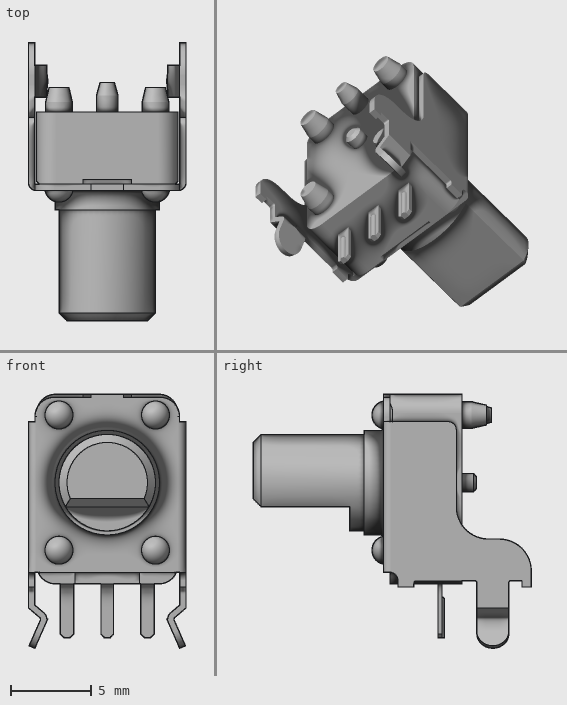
import cadquery as cq
import math


body_half_width = 4.4
body_top = 5.5
body_bottom = -6.3
body_back = 4.9
body_corner_radius = 1.2
body_edge_chamfer = 0.18
pocket_depth = 0.3
top_notch_half_width = 1.5
top_notch_floor = 5.2
bottom_recess_half_width = 2.0

sheet = 0.4
cover_half_width = 4.9
bend_radius = 0.5
cover_inner_half_width = cover_half_width - sheet
cover_top = 5.3
cover_bottom = -5.58
tab_half_width = 1.02
flange_top = 3.79
flange_back = 4.53
flange_corner_radius = 0.5
shelf_radius = 2.0
shelf_z = -3.5
flange_end = 9.2
flange_lower_edge = -6.1
foot_bottom = -6.5
rear_foot_front = 8.6
front_foot_start = 0.9
front_foot_end = 1.9
relief_radius = 0.5
notch_fillet = 0.12

leg_front = 5.8
leg_width = 2.0
leg_centre_x = cover_half_width - sheet / 2
leg_knee_z = -7.7
leg_bulge_x = 3.88
leg_bulge_z = -8.4
leg_tip_x = 4.68
leg_tip_z = -10.22
leg_bend_inner_radius = 0.12

bushing_radius = 3.25
bushing_length = 1.2
bushing_fillet = 0.2
shaft_radius = 3.0
shaft_length = 8.1
shaft_chamfer = 0.5
flat_z = -1.5
flat_length = 6.0

dimple_x = 3.0
dimple_z = 4.2
dimple_radius = 0.885
dimple_height = 0.72

post_x = dimple_x
post_z = dimple_z
post_root_depth = 0.3
outer_post = (0.84, 0.62, 5.48, 6.42)
centre_post = (0.68, 0.45, 5.9, 6.72)
low_post = (0.58, 0.36, 5.6, 5.8)

terminal_pitch = 2.5
outer_terminal_width = 0.86
centre_terminal_width = 0.8
terminal_front = 3.38
terminal_back = 3.65
terminal_bottom = -9.65
terminal_tip_chamfer = 0.24
bead_height = 0.16
bead_half_width = 0.2
bead_top = -7.1


def box(x0, x1, y0, y1, z0, z1):
    """Axis-aligned box between opposite corners."""
    return cq.Workplane("XY").box(x1 - x0, y1 - y0, z1 - z0, centered=False).translate((x0, y0, z0))


def mirrored(shape):
    """A left-hand shape together with its mirror image across X = 0."""
    return shape.union(shape.mirror("YZ"))


def make_body():
    body = box(-body_half_width, body_half_width, sheet, body_back, body_bottom, body_top)
    body = body.edges("|Y").fillet(body_corner_radius)

    corner = (
        cq.Workplane("XY")
        .moveTo(-body_half_width, sheet)
        .lineTo(-body_half_width + body_edge_chamfer, sheet)
        .lineTo(-body_half_width, sheet + body_edge_chamfer)
        .close()
        .extrude(body_top - body_bottom)
        .translate((0, 0, body_bottom))
    )
    body = body.cut(mirrored(corner))

    pocket_back = sheet + pocket_depth
    top_notch = box(
        -top_notch_half_width, top_notch_half_width, sheet, pocket_back, top_notch_floor, body_top
    )
    bottom_recess = box(
        -bottom_recess_half_width, bottom_recess_half_width, sheet, pocket_back, body_bottom, cover_bottom
    )
    return body.cut(top_notch).cut(bottom_recess)


def make_flange():
    """Left-hand flange, including the bend strip up to the flat of the cover."""
    shelf_start = flange_back + shelf_radius
    shelf_end = flange_end - shelf_radius
    diagonal = shelf_radius * math.sqrt(0.5)
    leg_back = leg_front + leg_width
    profile = (
        cq.Workplane("YZ")
        .moveTo(0, cover_bottom)
        .lineTo(0, flange_top)
        .lineTo(flange_back, flange_top)
        .lineTo(flange_back, shelf_z + shelf_radius)
        .threePointArc(
            (shelf_start - diagonal, shelf_z + shelf_radius - diagonal), (shelf_start, shelf_z)
        )
        .lineTo(shelf_end, shelf_z)
        .threePointArc(
            (shelf_end + diagonal, shelf_z - shelf_radius + diagonal), (flange_end, shelf_z - shelf_radius)
        )
        .lineTo(flange_end, foot_bottom)
        .lineTo(rear_foot_front, foot_bottom)
        .lineTo(rear_foot_front, flange_lower_edge)
        .lineTo(leg_back, flange_lower_edge)
        .lineTo(leg_back, leg_knee_z)
        .lineTo(leg_front, leg_knee_z)
        .lineTo(leg_front, flange_lower_edge)
        .lineTo(front_foot_end, flange_lower_edge)
        .lineTo(front_foot_end, foot_bottom)
        .lineTo(front_foot_start, foot_bottom)
        .lineTo(front_foot_start, cover_bottom - relief_radius)
        .radiusArc((front_foot_start - relief_radius, cover_bottom), -relief_radius)
        .close()
        .extrude(sheet)
        .translate((-cover_half_width, 0, 0))
    )

    def edge_at(y, z):
        return cq.selectors.NearestToPointSelector((-leg_centre_x, y, z))

    profile = profile.edges(edge_at(flange_back, flange_top)).fillet(flange_corner_radius)
    for notch_y in (front_foot_end, leg_front, leg_back):
        profile = profile.edges(edge_at(notch_y, flange_lower_edge)).fillet(notch_fillet)
    bend_strip = box(-cover_half_width, -body_half_width, 0, sheet, cover_bottom, flange_top)
    return profile.union(bend_strip)


def make_bend_waste():
    """Left-hand sliver outside the rounded bend between cover and flange."""
    bend_x = bend_radius - cover_half_width
    bend_top = cover_top - body_corner_radius
    sharp_corner = box(-cover_half_width, bend_x, 0, bend_radius, cover_bottom, bend_top)
    bend_round = cq.Solid.makeCylinder(
        bend_radius, bend_top - cover_bottom, cq.Vector(bend_x, bend_radius, cover_bottom)
    )
    return sharp_corner.cut(cq.Workplane(bend_round))


def offset_corner(start, corner, end, distance):
    """Mitred corner of the line start-corner-end shifted sideways by distance."""
    normals = []
    for (x0, z0), (x1, z1) in ((start, corner), (corner, end)):
        length = math.hypot(x1 - x0, z1 - z0)
        normals.append(((z0 - z1) / length, (x1 - x0) / length))
    (nx0, nz0), (nx1, nz1) = normals
    stretch = distance / (1 + nx0 * nx1 + nz0 * nz1)
    return (corner[0] + stretch * (nx0 + nx1), corner[1] + stretch * (nz0 + nz1))


def make_leg():
    """Left-hand leg: a strip bent inward, then outward, ending in a half-round tip."""
    root = (-leg_centre_x, flange_lower_edge)
    knee = (-leg_centre_x, leg_knee_z)
    bulge = (-leg_bulge_x, leg_bulge_z)
    slant_x = leg_bulge_x - leg_tip_x
    slant_z = leg_tip_z - leg_bulge_z
    slant = math.hypot(slant_x, slant_z)
    dir_x = slant_x / slant
    dir_z = slant_z / slant
    tip_radius = leg_width / 2
    tip = (-leg_tip_x - tip_radius * dir_x, leg_tip_z - tip_radius * dir_z)
    half = sheet / 2

    bulge_outer = offset_corner(knee, bulge, tip, half)
    bulge_inner = offset_corner(knee, bulge, tip, -half)
    outline = [
        (root[0] + half, root[1]),
        offset_corner(root, knee, bulge, half),
        bulge_outer,
        (tip[0] - half * dir_z, tip[1] + half * dir_x),
        (tip[0] + half * dir_z, tip[1] - half * dir_x),
        bulge_inner,
        offset_corner(root, knee, bulge, -half),
        (root[0] - half, root[1]),
    ]
    leg_back = leg_front + leg_width
    strip = cq.Workplane("XZ", origin=(0, leg_back, 0)).polyline(outline).close().extrude(leg_width)

    def bend_edge(point):
        return cq.selectors.NearestToPointSelector((point[0], leg_front + leg_width / 2, point[1]))

    strip = strip.edges(bend_edge(bulge_outer)).fillet(leg_bend_inner_radius + sheet)
    strip = strip.edges(bend_edge(bulge_inner)).fillet(leg_bend_inner_radius)

    disc_start = cq.Vector(tip[0] + half * dir_z, leg_front + tip_radius, tip[1] - half * dir_x)
    disc_axis = cq.Vector(-dir_z, 0, dir_x)
    disc = cq.Solid.makeCylinder(tip_radius, sheet, disc_start, disc_axis)
    return strip.union(cq.Workplane(disc))


def make_cover():
    plate = box(-cover_inner_half_width, cover_inner_half_width, 0, sheet, cover_bottom, cover_top)
    plate = plate.edges("|Y and >Z").fillet(body_corner_radius)
    tab = box(-tab_half_width, tab_half_width, 0, sheet, 0, body_top)
    side = make_flange().union(make_leg())
    cover = plate.union(tab).union(mirrored(side))
    return cover.cut(mirrored(make_bend_waste()))


def make_dimples():
    centre_y = dimple_radius - dimple_height
    dimples = cq.Workplane("XY")
    for x in (-dimple_x, dimple_x):
        for z in (-dimple_z, dimple_z):
            dimples = dimples.union(cq.Workplane("XY").sphere(dimple_radius).translate((x, centre_y, z)))
    front_half = box(-cover_half_width, cover_half_width, -dimple_height, sheet, cover_bottom, body_top)
    return dimples.intersect(front_half)


def make_bushing():
    flare_radius = bushing_radius + bushing_fillet
    bow = bushing_fillet * (1 - math.sqrt(0.5))
    profile = (
        cq.Workplane("XY")
        .moveTo(0, sheet)
        .lineTo(flare_radius, sheet)
        .lineTo(flare_radius, 0)
        .threePointArc((bushing_radius + bow, -bow), (bushing_radius, -bushing_fillet))
        .lineTo(bushing_radius, -bushing_length)
        .lineTo(0, -bushing_length)
        .close()
    )
    return profile.revolve(360, (0, 0), (0, 1))


def make_shaft():
    flat_start = flat_length - shaft_length
    shaft = cq.Workplane("XZ").circle(shaft_radius).extrude(shaft_length)
    flat = box(-shaft_radius, shaft_radius, -shaft_length, flat_start, -shaft_radius, flat_z)
    return shaft.cut(flat).faces("<Y").edges().chamfer(shaft_chamfer)


def make_post(size, x, z):
    """Round post on the back of the housing with a conical tip."""
    base_radius, tip_radius, cone_start, tip_y = size
    profile = (
        cq.Workplane("XY")
        .moveTo(0, body_back - post_root_depth)
        .lineTo(base_radius, body_back - post_root_depth)
        .lineTo(base_radius, cone_start)
        .lineTo(tip_radius, tip_y)
        .lineTo(0, tip_y)
        .close()
    )
    return profile.revolve(360, (0, 0), (0, 1)).translate((x, 0, z))


def make_posts():
    posts = make_post(centre_post, 0, post_z).union(make_post(low_post, 0, 0))
    for x in (-post_x, post_x):
        for z in (-post_z, post_z):
            posts = posts.union(make_post(outer_post, x, z))
    return posts


def make_terminal(x, width):
    """Flat terminal with a chamfered tip and a rounded stiffening bead on its back."""
    blade = box(-width / 2, width / 2, terminal_front, terminal_back, terminal_bottom, body_bottom)
    blade = blade.faces("<Z").edges("|Y").chamfer(terminal_tip_chamfer)

    bead_radius = (bead_half_width**2 + bead_height**2) / (2 * bead_height)
    bead_axis_y = terminal_back + bead_height - bead_radius
    round_end_z = bead_top - bead_half_width
    bead = cq.Workplane(
        cq.Solid.makeCylinder(
            bead_radius, round_end_z - terminal_bottom, cq.Vector(0, bead_axis_y, terminal_bottom)
        )
    )
    bead = bead.union(cq.Workplane("XY").sphere(bead_radius).translate((0, bead_axis_y, round_end_z)))
    behind_blade = box(
        -bead_radius, bead_radius, terminal_back, terminal_back + bead_height, terminal_bottom, body_bottom
    )
    return blade.union(bead.intersect(behind_blade)).translate((x, 0, 0))


def make_terminals():
    terminals = make_terminal(0, centre_terminal_width)
    for x in (-terminal_pitch, terminal_pitch):
        terminals = terminals.union(make_terminal(x, outer_terminal_width))
    return terminals


result = (
    make_body()
    .union(make_cover())
    .union(make_dimples())
    .union(make_bushing())
    .union(make_shaft())
    .union(make_posts())
    .union(make_terminals())
)